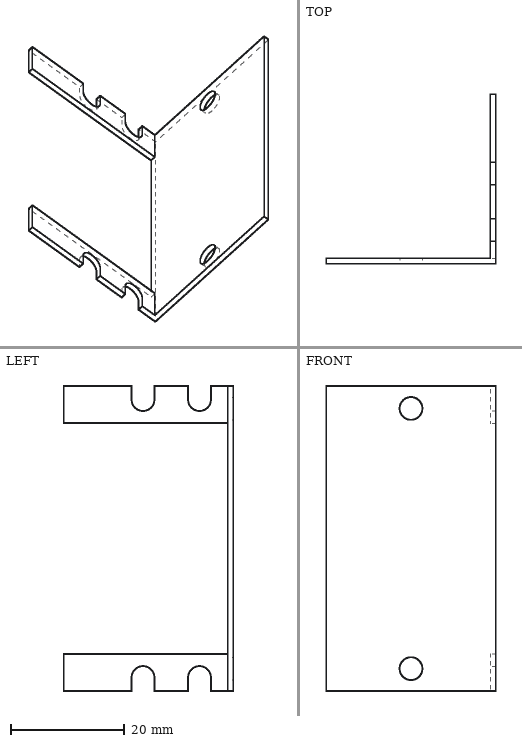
import cadquery as cq

height = 54.0
width = 30.0
depth = 30.0
thickness = 1.0

hole_diameter = 4.0
hole_edge_distance = 4.0

arm_height = 6.6
slot_width = 4.0
slot_depth = 4.45
slot_distances = (6.0, 16.0)


def make_front_plate():
    """Upright plate with one hole near each end; its front face is at Y = 0."""
    hole_offset = height / 2 - hole_edge_distance
    plate = cq.Workplane("XY").box(width, thickness, height, centered=(True, False, True))
    holes = (
        cq.Workplane("XZ")
        .pushPoints([(0, hole_offset), (0, -hole_offset)])
        .circle(hole_diameter / 2)
        .extrude(-thickness)
    )
    return plate.cut(holes)


def make_upper_arm():
    """Arm along the +X edge, with round-bottomed slots open at the top."""
    slot_radius = slot_width / 2
    arc_centre_z = height / 2 - slot_depth + slot_radius
    arm_start_x = width / 2 - thickness
    arm = (
        cq.Workplane("YZ", origin=(arm_start_x, 0, height / 2 - arm_height))
        .rect(depth, arm_height, centered=False)
        .extrude(thickness)
    )
    for slot_y in slot_distances:
        slot = (
            cq.Workplane("YZ", origin=(arm_start_x, slot_y, 0))
            .moveTo(-slot_radius, height / 2)
            .lineTo(-slot_radius, arc_centre_z)
            .threePointArc((0, height / 2 - slot_depth), (slot_radius, arc_centre_z))
            .lineTo(slot_radius, height / 2)
            .close()
            .extrude(thickness)
        )
        arm = arm.cut(slot)
    return arm


upper_arm = make_upper_arm()
lower_arm = upper_arm.mirror("XY")
result = make_front_plate().union(upper_arm).union(lower_arm)